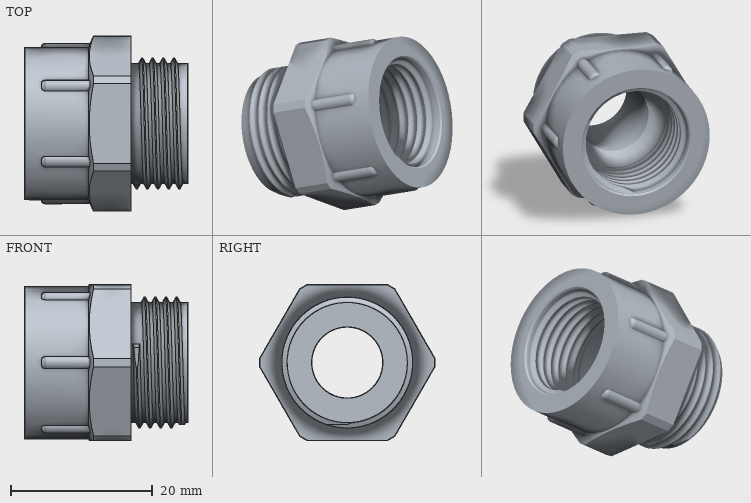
import cadquery as cq
import math


collar_length = 9.0
hex_length = 6.0
male_length = 8.0
hex_end = collar_length + hex_length
total_length = hex_end + male_length

collar_diameter = 21.52
hex_sides = 6
across_flats = 22.0
across_blunted_corners = 24.7
hex_chamfer_depth = 0.7
bore_diameter = 15.65
bore_depth = 10.0
mouth_chamfer = 0.2
through_diameter = 10.0
seat_length = 1.5
seat_diameter = 14.1

rib_count = hex_sides
rib_radius = 0.92
rib_center_radius = 10.39
rib_start = 2.34
rib_nose_fillet = 0.55
rib_end = collar_length + hex_chamfer_depth

pitch = 1.5
tooth_height = 0.75
tooth_base = 1.0
tooth_crest = 0.16
root_overlap = 0.15
cutter_reach = 1.2

male_root_radius = 16.96 / 2
male_start_x = 15.73
male_start_angle = -108.2
male_sweep_angle = 4 * 360.0 + 112.5
male_step_height = 0.27
male_step_angle = 4.3

bore_radius = bore_diameter / 2
female_start_x = 0.87
female_start_angle = 0.0
female_turns = 6.5
female_lead_angle = 15.0


def cylinder_x(radius, start, end):
    return cq.Workplane("YZ", origin=(start, 0, 0)).circle(radius).extrude(end - start)


def hex_prism(flats, corner_offset):
    """Hexagonal prism over the hexagon length, turned by corner_offset degrees from a corner on Y."""
    corner_diameter = flats / math.cos(math.pi / hex_sides)
    prism = cq.Workplane("YZ", origin=(collar_length, 0, 0)).polygon(hex_sides, corner_diameter).extrude(hex_length)
    return prism.rotate((0, 0, 0), (1, 0, 0), corner_offset)


def make_hexagon():
    """Hexagon with blunted corners and a conical chamfer towards the collar."""
    collar_radius = collar_diameter / 2
    corner_radius = across_blunted_corners / 2
    envelope_radius = across_flats
    chamfer_slope = hex_chamfer_depth / (corner_radius - collar_radius)
    envelope_x = collar_length + chamfer_slope * (envelope_radius - collar_radius)
    envelope = (
        cq.Workplane("XY")
        .moveTo(collar_length, 0)
        .lineTo(collar_length, collar_radius)
        .lineTo(envelope_x, envelope_radius)
        .lineTo(hex_end, envelope_radius)
        .lineTo(hex_end, 0)
        .close()
        .revolve(360, (0, 0, 0), (1, 0, 0))
    )
    half_side_angle = 180 / hex_sides
    corner_flats = hex_prism(across_blunted_corners, half_side_angle)
    return hex_prism(across_flats, 0).intersect(corner_flats).intersect(envelope)


def make_rib(angle):
    rib = (
        cylinder_x(rib_radius, rib_start, rib_end)
        .faces("<X")
        .edges()
        .fillet(rib_nose_fillet)
        .translate((0, rib_center_radius, 0))
    )
    return rib.rotate((0, 0, 0), (1, 0, 0), angle)


def make_bore():
    """Tool for the female bore, its mouth chamfer, the shoulder and conical seat and the through hole."""
    through_radius = through_diameter / 2
    return (
        cq.Workplane("XY")
        .lineTo(0, bore_radius + mouth_chamfer)
        .lineTo(mouth_chamfer, bore_radius)
        .lineTo(bore_depth, bore_radius)
        .lineTo(bore_depth, seat_diameter / 2)
        .lineTo(bore_depth + seat_length, through_radius)
        .lineTo(total_length, through_radius)
        .lineTo(total_length, 0)
        .close()
        .revolve(360, (0, 0, 0), (1, 0, 0))
    )


def polar(radius, degrees):
    angle = math.radians(degrees)
    return (radius * math.cos(angle), radius * math.sin(angle))


def helical_tooth(root_radius, direction, sweep_angle):
    """Right-hand tooth about Z from angle 0, Z 0; direction is 1 for outward and -1 for inward."""
    buried_radius = root_radius - direction * root_overlap
    crest_radius = root_radius + direction * tooth_height
    flank_slope = (tooth_base - tooth_crest) / 2 / tooth_height
    buried_half = tooth_base / 2 + flank_slope * root_overlap
    crest_half = tooth_crest / 2
    path = cq.Wire.makeHelix(pitch, pitch * sweep_angle / 360, root_radius)
    return (
        cq.Workplane("XZ")
        .moveTo(buried_radius, -buried_half)
        .lineTo(crest_radius, -crest_half)
        .lineTo(crest_radius, crest_half)
        .lineTo(buried_radius, buried_half)
        .close()
        .sweep(cq.Workplane(path), isFrenet=True)
    )


def place_thread(tooth, start_x, start_angle):
    """Turn a thread from the Z axis to the X axis and set its start."""
    return (
        tooth.rotate((0, 0, 0), (0, 0, 1), start_angle)
        .rotate((0, 0, 0), (0, 1, 0), 90)
        .translate((start_x, 0, 0))
    )


def end_cutter(outline, sweep_position):
    """Prism, one pitch high, that trims a tooth at the given angle of its sweep."""
    center_z = pitch * sweep_position / 360
    cutter = cq.Workplane("XY", origin=(0, 0, center_z)).polyline(outline).close().extrude(pitch / 2, both=True)
    return cutter.rotate((0, 0, 0), (0, 0, 1), sweep_position)


def make_male_thread():
    """Outward tooth; each end is a low slanted step and a flat that rises to the crest."""
    tooth = helical_tooth(male_root_radius, 1, male_sweep_angle)
    flat_radius = male_root_radius + male_step_height
    clear_radius = male_root_radius + 2 * tooth_height
    step_start = (male_root_radius, 0)
    step_end = polar(flat_radius, male_step_angle)
    flat_direction = polar(1, male_step_angle + 90)
    flat_length = cutter_reach * math.sqrt((male_root_radius + tooth_height) ** 2 - flat_radius**2)
    flat_end = tuple(start + flat_length * part for start, part in zip(step_end, flat_direction))
    outline = [
        polar(male_root_radius - root_overlap, -male_step_angle),
        step_start,
        step_end,
        flat_end,
        (clear_radius, flat_end[1]),
        polar(clear_radius, -male_step_angle),
    ]
    mirrored_outline = [(x, -y) for x, y in outline]
    tooth = tooth.cut(end_cutter(outline, 0))
    tooth = tooth.cut(end_cutter(mirrored_outline, male_sweep_angle))
    return place_thread(tooth, male_start_x, male_start_angle)


def make_female_thread():
    """Inward tooth that ramps up from the bore wall on a flat facet and stops flush at the seat shoulder."""
    tooth = helical_tooth(bore_radius, -1, 360 * female_turns)
    crest_radius = bore_radius - tooth_height
    clear_radius = crest_radius - tooth_height
    outline = [
        (bore_radius, 0),
        polar(crest_radius, female_lead_angle),
        polar(clear_radius, female_lead_angle),
        polar(clear_radius, -female_lead_angle),
        polar(bore_radius, -female_lead_angle),
    ]
    tooth = tooth.cut(end_cutter(outline, 0))
    thread = place_thread(tooth, female_start_x, female_start_angle)
    return thread.cut(cylinder_x(collar_diameter / 2, bore_depth, total_length))


body = cylinder_x(collar_diameter / 2, 0, collar_length)
body = body.union(make_hexagon())
body = body.union(cylinder_x(male_root_radius, hex_end, total_length))
for index in range(rib_count):
    body = body.union(make_rib(index * 360 / rib_count))
body = body.cut(make_bore())
body = body.union(make_male_thread())
result = body.union(make_female_thread())